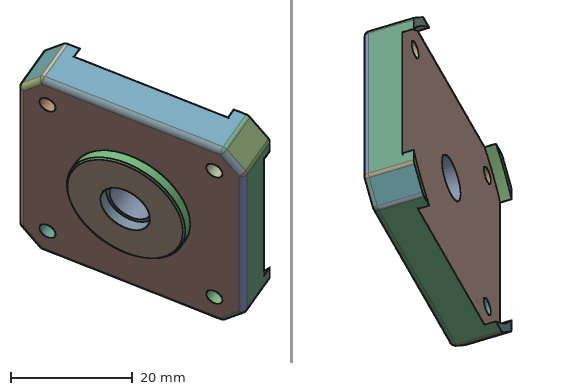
import cadquery as cq
import math

side = 42.0
plate_depth = 9.07
corner_cut = 4.05
edge_radius = 1.0

boss_diameter = 22.0
boss_height = 2.0
boss_chamfer = 0.3

bore_diameter = 8.0
counterbore_diameter = 9.2
counterbore_depth = 2.0

hole_diameter = 3.0
hole_pitch = 31.0

side_opening = 28.55
seat_depth = 2.0

overall_depth = plate_depth + boss_height


def front_plane(y):
    """Sketch plane at the given Y whose normal points to -Y."""
    return cq.Workplane("XZ", origin=(0, y, 0))


def make_plate():
    """Plate with its front at Y = 0, cut corners and rounded edges."""
    plate = front_plane(plate_depth).rect(side, side).extrude(plate_depth)
    plate = plate.edges("|Y").chamfer(corner_cut)
    plate = plate.edges("|Y").fillet(edge_radius)
    return plate.faces("<Y").edges().fillet(edge_radius)


def make_boss():
    boss = front_plane(0).circle(boss_diameter / 2).extrude(boss_height)
    return boss.faces("<Y").edges().chamfer(boss_chamfer)


def make_motor_seat():
    """Round recess in the back, wide enough to break out through all four sides."""
    seat_radius = math.hypot(side / 2, side_opening / 2)
    return front_plane(plate_depth).circle(seat_radius).extrude(seat_depth)


def make_bore():
    bore = front_plane(plate_depth).circle(bore_diameter / 2).extrude(overall_depth)
    counterbore = (
        front_plane(counterbore_depth - boss_height)
        .circle(counterbore_diameter / 2)
        .extrude(counterbore_depth)
    )
    return bore.union(counterbore)


def make_mounting_holes():
    return (
        front_plane(plate_depth)
        .rect(hole_pitch, hole_pitch, forConstruction=True)
        .vertices()
        .circle(hole_diameter / 2)
        .extrude(plate_depth)
    )


result = (
    make_plate()
    .union(make_boss())
    .cut(make_motor_seat())
    .cut(make_bore())
    .cut(make_mounting_holes())
)